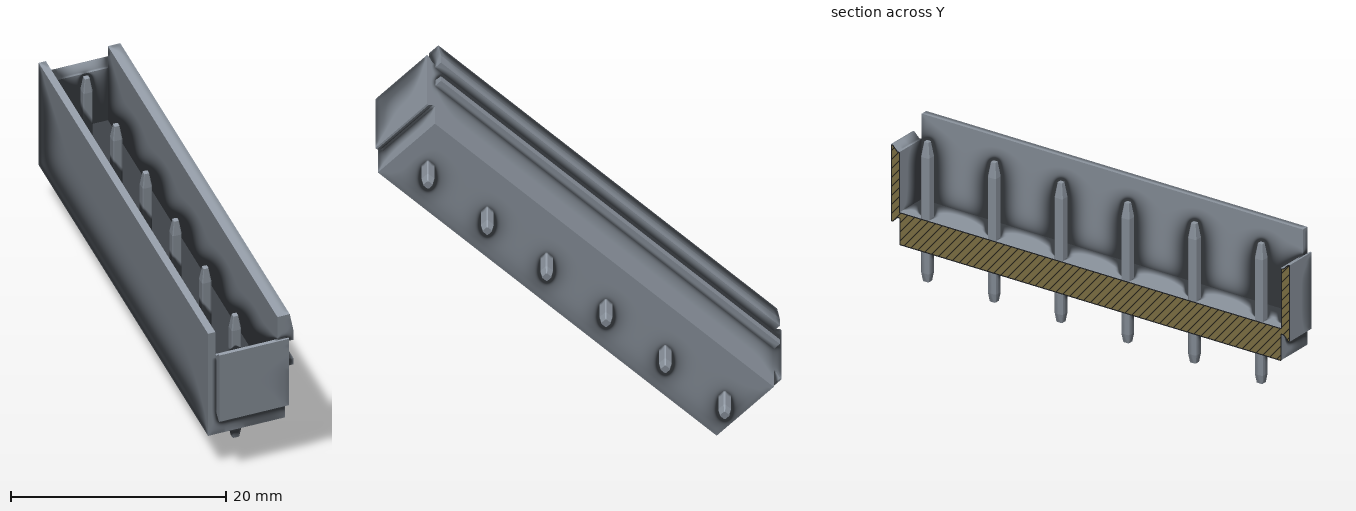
import cadquery as cq


overall_length = 45.5
housing_length = 43.5
housing_height = 12.1
front_face_y = -3.8
front_wall_inner_y = -3.05
back_face_y = 3.9
back_wall_inner_y = 3.15
floor_thickness = 3.32

latch_projection = 0.8
latch_y = back_face_y + latch_projection
hook_bottom_z = 8.95
hook_slope_start_z = 10.1
hook_slope_depth = 0.35
ridge_bottom_z = 6.05
ridge_height = 0.75
ridge_root_rise = 0.15

plate_bottom_z = 2.2
plate_top_z = 10.05
plate_lip = 0.2
plate_bevel = 0.55
plate_thickness = (overall_length - housing_length) / 2

pin_count = 6
pin_row_length = 38.1
pin_pitch = pin_row_length / (pin_count - 1)
pin_row_offset = -0.15
pin_width = 0.95
pin_edge_chamfer = 0.115
pin_bottom_z = -3.1
pin_top_z = 11.2
lower_tip_length = 0.9
lower_tip_inset = 0.15
upper_tip_length = 1.5
upper_tip_inset = 0.25


def extrude_along_length(outline):
    """Closed (y, z) outline run over the full housing length."""
    profile = cq.Workplane("YZ", origin=(-housing_length / 2, 0, 0)).polyline(outline).close()
    return profile.extrude(housing_length)


def make_trough():
    return extrude_along_length([
        (front_face_y, 0),
        (back_face_y, 0),
        (back_face_y, housing_height),
        (back_wall_inner_y, housing_height),
        (back_wall_inner_y, floor_thickness),
        (front_wall_inner_y, floor_thickness),
        (front_wall_inner_y, housing_height),
        (front_face_y, housing_height),
    ])


def make_latch_hook():
    return extrude_along_length([
        (back_wall_inner_y, hook_bottom_z),
        (latch_y, hook_bottom_z),
        (latch_y, hook_slope_start_z),
        (latch_y - hook_slope_depth, housing_height),
        (back_wall_inner_y, housing_height),
    ])


def make_latch_ridge():
    ridge_top_z = ridge_bottom_z + ridge_height
    return extrude_along_length([
        (back_wall_inner_y, ridge_bottom_z),
        (latch_y, ridge_bottom_z),
        (latch_y, ridge_top_z),
        (back_face_y, ridge_top_z + ridge_root_rise),
        (back_wall_inner_y, ridge_top_z + ridge_root_rise),
    ])


def make_end_plate(side):
    """Plate at one end (side -1 or +1), widening to a dovetail lip at its outer face."""
    inner_x = housing_length / 2
    outer_x = inner_x + plate_thickness
    lip_x = outer_x - plate_lip
    neck_x = lip_x - plate_bevel
    outline = [
        (inner_x, plate_bottom_z + plate_bevel),
        (neck_x, plate_bottom_z + plate_bevel),
        (lip_x, plate_bottom_z),
        (outer_x, plate_bottom_z),
        (outer_x, plate_top_z),
        (lip_x, plate_top_z),
        (neck_x, plate_top_z - plate_bevel),
        (inner_x, plate_top_z - plate_bevel),
    ]
    sided_outline = [(side * x, z) for x, z in outline]
    profile = cq.Workplane("XZ", origin=(0, back_face_y, 0)).polyline(sided_outline).close()
    return profile.extrude(back_face_y - front_wall_inner_y)


def make_pin_tip(shank, end_face, height, inset):
    """Taper running from an end face of the shank (">Z" or "<Z") to a smaller flat."""
    base_wire = shank.faces(end_face).wires().val()
    base_center = shank.faces(end_face).val().Center()
    direction = 1 if end_face == ">Z" else -1
    tip_scale = (pin_width - 2 * inset) / pin_width
    tip_center = base_center + cq.Vector(0, 0, direction * height)
    tip_wire = base_wire.translate(-base_center).scale(tip_scale).translate(tip_center)
    return cq.Solid.makeLoft([base_wire, tip_wire], True)


def make_pin(x):
    """Square pin with chamfered long edges and a tapered tip at each end."""
    shank_bottom_z = pin_bottom_z + lower_tip_length
    shank_top_z = pin_top_z - upper_tip_length
    shank = (
        cq.Workplane("XY", origin=(x, 0, shank_bottom_z))
        .rect(pin_width, pin_width)
        .extrude(shank_top_z - shank_bottom_z)
        .edges("|Z")
        .chamfer(pin_edge_chamfer)
    )
    lower_tip = make_pin_tip(shank, "<Z", lower_tip_length, lower_tip_inset)
    upper_tip = make_pin_tip(shank, ">Z", upper_tip_length, upper_tip_inset)
    return shank.union(lower_tip).union(upper_tip).solids()


first_pin_x = pin_row_offset - pin_row_length / 2
pins = [make_pin(first_pin_x + i * pin_pitch) for i in range(pin_count)]


def make_housing():
    """Trough with its latch features and end plates, pierced through the floor by the pins."""
    housing = make_trough().union(make_latch_hook()).union(make_latch_ridge())
    for side in (-1, 1):
        housing = housing.union(make_end_plate(side))
    for pin in pins:
        housing = housing.cut(pin)
    return housing.solids()


housing = make_housing()
result = cq.Compound.makeCompound([housing.val(), *[pin.val() for pin in pins]])